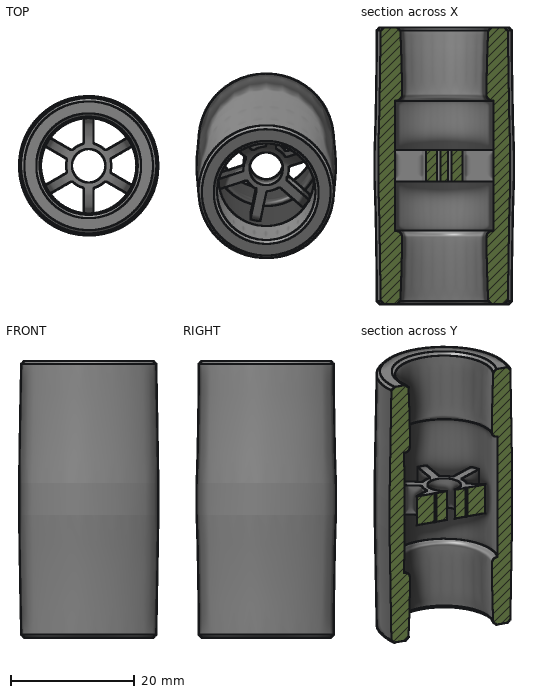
import cadquery as cq
import math

length = 45.0
band_diameter = 22.7
band_height = 5.15
end_diameter = 22.0
end_chamfer = 0.55

socket_mouth_diameter = 15.98
socket_floor_diameter = 15.5
mouth_chamfer = 0.55
socket_depth = 11.0
lip_radius = 1.0

hub_diameter = 7.4
hub_hole_diameter = 5.4
spoke_count = 6
spoke_width = 1.6
first_spoke_angle = 30.0
window_corner_radius = 0.3
spider_height = band_height

half_length = length / 2
outer_radius = end_diameter / 2
mouth_radius = socket_mouth_diameter / 2
floor_radius = socket_floor_diameter / 2
floor_z = half_length - socket_depth
passage_radius = floor_radius + lip_radius


def make_shell():
    """Tube wall revolved about Z, mirror-symmetric about the mid-plane."""
    lip_end_z = floor_z - lip_radius
    lip_middle_radius = passage_radius - lip_radius * math.sqrt(0.5)
    lip_middle_z = floor_z - lip_radius * math.sqrt(0.5)
    upper_outline = [
        (band_diameter / 2, band_height / 2),
        (outer_radius, half_length - end_chamfer),
        (outer_radius - end_chamfer, half_length),
        (mouth_radius + mouth_chamfer, half_length),
        (mouth_radius, half_length - mouth_chamfer),
        (floor_radius, floor_z),
    ]
    lower_outline = [(radius, -z) for radius, z in reversed(upper_outline)]
    profile = (
        cq.Workplane("XZ")
        .polyline(lower_outline + upper_outline, includeCurrent=False)
        .threePointArc((lip_middle_radius, lip_middle_z), (passage_radius, lip_end_z))
        .lineTo(passage_radius, -lip_end_z)
        .threePointArc((lip_middle_radius, -lip_middle_z), (floor_radius, -floor_z))
        .wire()
    )
    return profile.revolve(360, (0, 0, 0), (0, 1, 0))


def make_spider():
    """Hub and spokes with rounded inner window corners; the spokes run into the tube wall."""
    spoke_reach = (passage_radius + outer_radius) / 2
    base = cq.Workplane("XY").workplane(offset=-spider_height / 2)
    spider = base.circle(hub_diameter / 2).extrude(spider_height)
    for index in range(spoke_count):
        angle = first_spoke_angle + index * 360 / spoke_count
        spoke = base.center(spoke_reach / 2, 0).rect(spoke_reach, spoke_width).extrude(spider_height)
        spider = spider.union(spoke.rotate((0, 0, 0), (0, 0, 1), angle))

    inner_corners = cq.selectors.BoxSelector(
        (-hub_diameter, -hub_diameter, -spider_height),
        (hub_diameter, hub_diameter, spider_height),
    )
    spider = spider.edges("|Z").edges(inner_corners).fillet(window_corner_radius)
    hub_hole = base.circle(hub_hole_diameter / 2).extrude(spider_height)
    return spider.cut(hub_hole)


result = make_shell().union(make_spider())